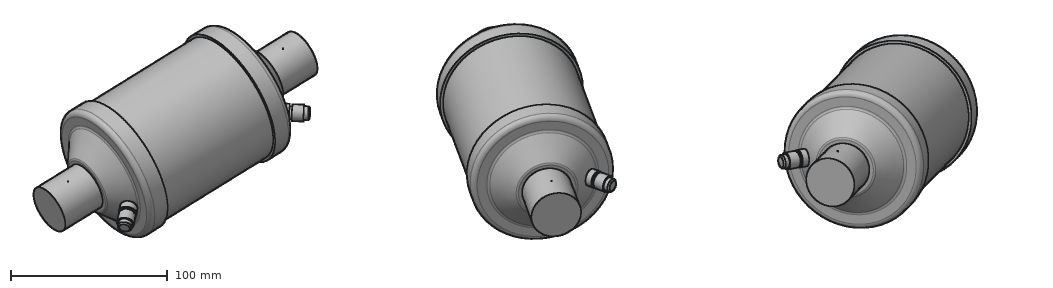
import cadquery as cq
import math

total_length = 207.0
tube_radius = 16.1
pinhole_diameter = 0.5
pinhole_depth = 1.0
shell_radius = 44.5
cap_radius = 93.0 / 2
cap_inner_y = 44.0
cap_face_y = 58.5
cap_edge_fillet = 3.7
cone_base_radius = 35.5
cone_top_radius = 19.5
cone_top_y = 72.9
cone_top_fillet = 2.0
cone_base_fillet = 2.7

valve_foot_radial = 30.5
base_radius = 11.4 / 2
base_height = 4.5
base_sink = 2.0
neck_radius = 4.1
neck_height = 1.7
collar_radius = 11.0 / 2
collar_height = 7.5
tip_radius = 4.5
tip_height = 4.0
tip_chamfer = 1.0

pinhole_y = (total_length / 2 + cone_top_y) / 2

cone_drop = cone_top_y - cap_face_y
cone_run = cone_base_radius - cone_top_radius
cone_angle = math.atan2(cone_drop, cone_run)


def cylinder_along_y(radius, half_length):
    """Round bar centred on the origin with its axis on Y."""
    return cq.Workplane("XZ").circle(radius).extrude(half_length, both=True)


def make_end_cap():
    """Cap at the +Y end: rounded rim and raised cone."""
    rim = (
        cq.Workplane("XZ", origin=(0, cap_inner_y, 0))
        .circle(cap_radius)
        .extrude(-(cap_face_y - cap_inner_y))
        .faces(">Y").edges().fillet(cap_edge_fillet)
    )
    cone = (
        cq.Workplane("XY")
        .moveTo(0, cap_inner_y)
        .lineTo(cone_base_radius, cap_inner_y)
        .lineTo(cone_base_radius, cap_face_y)
        .lineTo(cone_top_radius, cone_top_y)
        .lineTo(0, cone_top_y)
        .close()
        .revolve(360, (0, 0, 0), (0, 1, 0))
        .faces(">Y").edges().fillet(cone_top_fillet)
    )
    cap = rim.union(cone)
    face_edge_point = (0, cap_face_y, cap_radius - cap_edge_fillet)
    flat_face = cap.faces(cq.selectors.NearestToPointSelector(face_edge_point))
    cone_foot = flat_face.edges(cq.selectors.RadiusNthSelector(0))
    return cone_foot.fillet(cone_base_fillet)


def make_housing():
    """Shell, two mirrored end caps and the connection tube with its pinholes."""
    cap = make_end_cap()
    shell = cylinder_along_y(shell_radius, cap_inner_y)
    tube = cylinder_along_y(tube_radius, total_length / 2)
    pinholes = (
        cq.Workplane("XY", origin=(0, 0, tube_radius - pinhole_depth))
        .pushPoints([(0, pinhole_y), (0, -pinhole_y)])
        .circle(pinhole_diameter / 2)
        .extrude(2 * pinhole_depth)
    )
    tube = tube.cut(pinholes)
    return shell.union(cap).union(cap.mirror("XZ")).union(tube)


def make_valve(end, housing):
    """Valve on the cone at the +Y (end = 1) or -Y (end = -1) side."""
    foot_y = cone_top_y - (valve_foot_radial - cone_top_radius) * math.tan(cone_angle)
    axis = cq.Vector(math.sin(cone_angle), end * math.cos(cone_angle), 0)
    foot = cq.Vector(valve_foot_radial, end * foot_y, 0)
    seat = cq.Plane(origin=(foot - axis * base_sink).toTuple(), xDir=(0, 0, 1), normal=axis.toTuple())
    steps = [
        (base_radius, base_sink + base_height),
        (neck_radius, neck_height),
        (collar_radius, collar_height),
        (tip_radius, tip_height),
    ]
    valve = cq.Workplane(seat)
    height = 0
    for radius, length in steps:
        step = cq.Workplane(seat).workplane(offset=height).circle(radius).extrude(length)
        valve = valve.union(step) if height else step
        height += length
    valve = valve.faces(cq.selectors.DirectionMinMaxSelector(axis)).edges().chamfer(tip_chamfer)
    return valve.cut(housing)


housing = make_housing()
valves = [make_valve(end, housing).val() for end in (1, -1)]

result = cq.Compound.makeCompound([housing.val(), *valves])